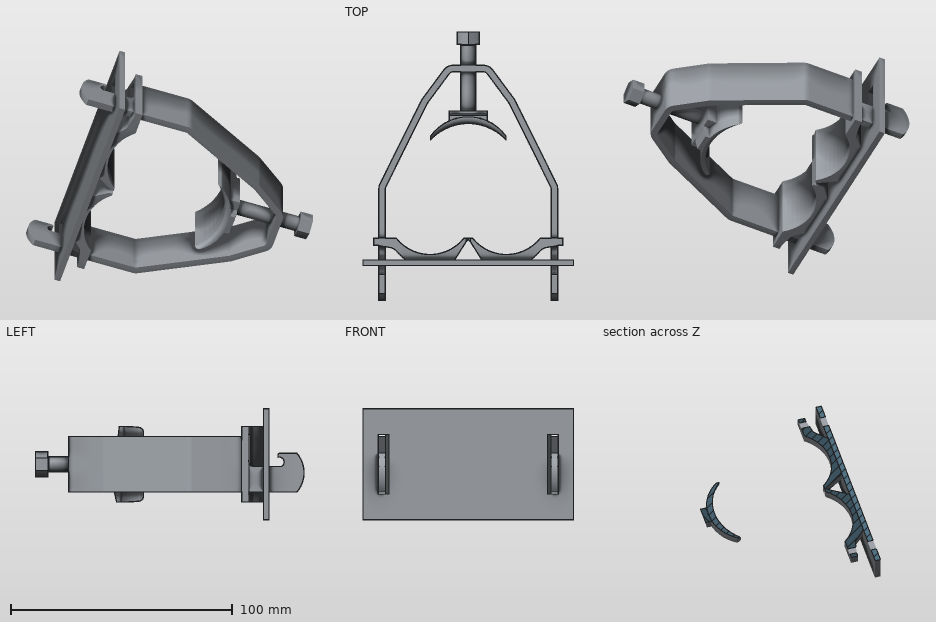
import cadquery as cq
import math


plate_width = 95.0
plate_height = 50.0
plate_thickness = 2.7
plate_slot_inner = 35.6
plate_slot_outer = 40.6
slot_height = 26.7

strap_thickness = 3.0
strap_width = 25.1
leg_outer = 40.4
bend_low = (leg_outer, 35.9)
bend_high = (21.0, 74.9)
crown_y = 90.4
crown_corner = (9.5, crown_y)
bend_radius = 5.3

shoulder_top_y = 12.7
shoulder_foot_y = 8.6
shoulder_fillet = 2.2
tab_top = -1.0
hook_top = 5.0
hook_beak_y = -3.9
hook_beak_low = 3.2
hook_beak_fillet = 0.8
hook_notch_deep = (-6.7, 1.0)
hook_notch_exit_y = -5.5
hook_corner_y = -12.5
hook_tip_y = -15.8

saddle_height = 34.0
saddle_top = 12.5
arm_end = 42.7
arm_underside = 9.2
arm_flat_end = 40.7
arm_bend_start = (34.5, 8.0)
arm_bend_middle = (33.1, 7.3)
arm_bend_end = (32.1, 6.3)
foot_outer = 28.5
foot_inner = 6.0
cradle_center = 17.2
cradle_half_width = 15.3
cradle_depth = 7.4
tie_half_width = 1.0
tie_underside = 11.8
wing_underside = 10.8
score_depth = 1.5

bolt_diameter = 6.9
neck_diameter = 6.4
neck_length = 0.4
head_across_flats = 9.9
head_height = 5.7
head_top_y = 105.4
bolt_end_y = 69.8

shell_height = 34.0
shell_half_width = 17.1
shell_inner_radius = 23.3
shell_outer_radius = 21.0
shell_inner_apex_y = 64.1
shell_outer_apex_y = 67.1
shell_rim_radius = 2.5
shell_end_fillet = 1.5

carrier_width = 16.7
carrier_tip_y = 67.6
carrier_shoulder_y = 68.4
ledge_width = 17.2
ledge_z = 10.5
lug_width = 8.5
lug_tip_y = 68.8
lug_taper_z = -12.6


def slab(width, y_low, y_high, z_low, z_high, middle_x=0):
    """Rectangular block centred on middle_x."""
    size = (width, y_high - y_low, z_high - z_low)
    middle = (middle_x, (y_low + y_high) / 2, (z_low + z_high) / 2)
    return cq.Workplane("XY").box(*size).translate(middle)


def leg_slots(inner, outer, y_low, y_high):
    """The two slots that let the strap legs through, at -X and +X."""
    slots = cq.Workplane("XY")
    for side in (-1, 1):
        middle = side * (inner + outer) / 2
        slots = slots.add(slab(outer - inner, y_low, y_high, -slot_height / 2, slot_height / 2, middle))
    return slots.combine()


def make_plate():
    plate = slab(plate_width, 0, plate_thickness, -plate_height / 2, plate_height / 2)
    return plate.cut(leg_slots(plate_slot_inner, plate_slot_outer, 0, plate_thickness))


def strap_band():
    """Bent band of constant thickness, closed into a ring by a web below the hook tips."""
    floor_y = hook_tip_y - strap_thickness
    right = [(leg_outer, floor_y), bend_low, bend_high, crown_corner]
    left = [(-x, y) for x, y in reversed(right)]
    outer = cq.Workplane("XY").polyline(right + left).close().extrude(strap_width / 2, both=True)
    reach = crown_y + leg_outer
    above_floor = cq.selectors.BoxSelector((-reach, 0, -reach), (reach, reach, reach))
    outer = outer.edges("|Z").edges(above_floor).fillet(bend_radius)
    outer_wire = outer.faces(">Z").wires().toPending()
    inner = outer_wire.offset2D(-strap_thickness).extrude(-strap_width, combine=False)
    return outer.cut(inner)


def leg_profile():
    """Side outline of the strap: full width above the shoulder, a hooked tab below it."""
    half = strap_width / 2
    profile = (
        cq.Workplane("YZ")
        .moveTo(crown_y, -half)
        .lineTo(crown_y, half)
        .lineTo(shoulder_top_y, half)
        .lineTo(shoulder_foot_y, tab_top)
        .lineTo(hook_notch_exit_y, tab_top)
        .threePointArc(hook_notch_deep, (hook_beak_y, hook_beak_low))
        .lineTo(hook_beak_y, hook_top)
        .lineTo(hook_corner_y, hook_top)
        .threePointArc((hook_tip_y, (hook_top - half) / 2), (hook_corner_y, -half))
        .close()
        .extrude(leg_outer, both=True)
    )
    at_foot = cq.selectors.NearestToPointSelector((0, shoulder_foot_y, tab_top))
    at_beak = cq.selectors.NearestToPointSelector((0, hook_beak_y, hook_top))
    profile = profile.edges("|X").edges(at_foot).fillet(shoulder_fillet)
    return profile.edges("|X").edges(at_beak).fillet(hook_beak_fillet)


def make_strap():
    strap = strap_band().intersect(leg_profile())
    return strap.cut(bolt_rod(bolt_diameter, crown_y - strap_thickness, crown_y))


def saddle_half_outline():
    """Outline of the +X half of the saddle, from the tie to the arm and back along the underside."""
    return (
        cq.Workplane("XY")
        .moveTo(0, saddle_top)
        .lineTo(cradle_center - cradle_half_width, saddle_top)
        .threePointArc(
            (cradle_center, saddle_top - cradle_depth),
            (cradle_center + cradle_half_width, saddle_top),
        )
        .lineTo(arm_end, saddle_top)
        .lineTo(arm_end, arm_underside)
        .lineTo(arm_flat_end, arm_underside)
        .lineTo(*arm_bend_start)
        .threePointArc(arm_bend_middle, arm_bend_end)
        .lineTo(foot_outer, plate_thickness)
        .lineTo(foot_inner, plate_thickness)
        .lineTo(tie_half_width, wing_underside)
        .lineTo(0, tie_underside)
        .close()
    )


def tie_scores():
    """V-shaped scores across the tie, in its top and bottom faces."""
    half = saddle_height / 2
    scores = cq.Workplane("XY")
    for end in (-1, 1):
        face_z = end * half
        root = (0, end * (half - score_depth))
        corners = [(-tie_half_width, face_z), (tie_half_width, face_z), root]
        score = cq.Workplane("XZ").polyline(corners).close().extrude(-saddle_top)
        scores = scores.add(score)
    return scores.combine()


def make_saddle():
    half = saddle_half_outline().extrude(saddle_height / 2, both=True)
    saddle = half.union(half.mirror("YZ"))
    saddle = saddle.cut(tie_scores())
    slots = leg_slots(leg_outer - strap_thickness, leg_outer, plate_thickness, saddle_top)
    return saddle.cut(slots)


def bolt_rod(diameter, y_low, y_high):
    rod = cq.Workplane("XZ").circle(diameter / 2).extrude(y_low - y_high)
    return rod.translate((0, y_low, 0))


def make_bolt():
    head_base = head_top_y - head_height
    across_corners = head_across_flats / math.cos(math.radians(30))
    head = cq.Workplane("XZ").polygon(6, across_corners).extrude(-head_height)
    head = head.rotate((0, 0, 0), (0, 1, 0), 30).translate((0, head_base, 0))
    neck = bolt_rod(neck_diameter, head_base - neck_length, head_base)
    shank = bolt_rod(bolt_diameter, bolt_end_y, head_base - neck_length)
    return shank.union(neck).union(head)


def shell_cylinder(radius, apex_y):
    """Upright cylinder as tall as the shell, reaching apex_y on its +Y side."""
    cylinder = cq.Workplane("XY").center(0, apex_y - radius).circle(radius)
    return cylinder.extrude(shell_height / 2, both=True)


def shell_rim_waste():
    """Ring outside a quarter round, at the top and bottom of the shell's inner face."""
    half = shell_height / 2
    axis_y = shell_inner_apex_y - shell_inner_radius
    to_middle = shell_rim_radius * (1 - math.sqrt(0.5))
    top_ring = (
        cq.Workplane("XZ")
        .moveTo(shell_inner_radius, half - shell_rim_radius)
        .threePointArc(
            (shell_inner_radius + to_middle, half - to_middle),
            (shell_inner_radius + shell_rim_radius, half),
        )
        .lineTo(shell_inner_radius, half)
        .close()
        .revolve(360, (0, 0, 0), (0, 1, 0))
        .translate((0, axis_y, 0))
    )
    return top_ring.add(top_ring.mirror("XY")).combine()


def make_shell():
    half = shell_height / 2
    outer_axis_y = shell_outer_apex_y - shell_outer_radius
    shell = slab(2 * shell_half_width, outer_axis_y, shell_outer_apex_y, -half, half)
    shell = shell.intersect(shell_cylinder(shell_outer_radius, shell_outer_apex_y))
    shell = shell.cut(shell_cylinder(shell_inner_radius, shell_inner_apex_y))
    end_y = outer_axis_y + math.sqrt(shell_outer_radius**2 - shell_half_width**2)
    for side in (-1, 1):
        back_edge = cq.selectors.NearestToPointSelector((side * shell_half_width, end_y, 0))
        shell = shell.edges("|Z").edges(back_edge).fillet(shell_end_fillet)
    return shell.cut(shell_rim_waste())


def side_prism(outline, width):
    """Prism across X, centred on X = 0, from an outline of (y, z) points."""
    return cq.Workplane("YZ").polyline(outline).close().extrude(width / 2, both=True)


def make_carrier():
    """Ledged block with a tapered top and a narrow lug below, seated on the back of the shell."""
    half = shell_height / 2
    seat_y = shell_inner_apex_y
    tapered_top = side_prism(
        [
            (seat_y, 0),
            (seat_y, half),
            (carrier_tip_y, half),
            (carrier_shoulder_y, ledge_z),
            (carrier_shoulder_y, 0),
        ],
        carrier_width,
    )
    ledge = slab(ledge_width, seat_y, bolt_end_y, -ledge_z, ledge_z)
    lug = side_prism(
        [
            (seat_y, 0),
            (seat_y, -half),
            (lug_tip_y, -half),
            (bolt_end_y, lug_taper_z),
            (bolt_end_y, 0),
        ],
        lug_width,
    )
    carrier = tapered_top.union(ledge).union(lug)
    return carrier.cut(shell_cylinder(shell_outer_radius, shell_outer_apex_y))


plate = make_plate()
strap = make_strap()
saddle = make_saddle()
bolt = make_bolt()
shell = make_shell()
carrier = make_carrier()

result = cq.Compound.makeCompound(
    [plate.val(), strap.val(), saddle.val(), bolt.val(), shell.val(), carrier.val()]
)